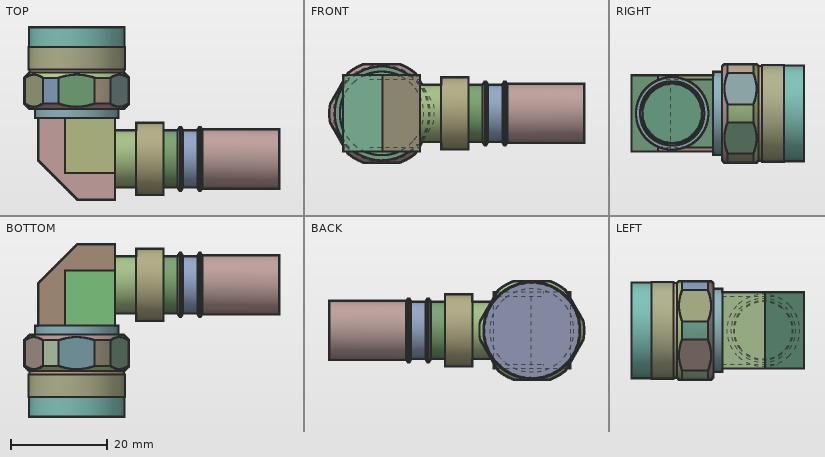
import cadquery as cq
import math


block_width = 16.05
block_length = 17.0
block_height = 15.95
block_bevel = 8.2
recess_x = -2.45
recess_y = -2.95
recess_depth = 0.9

flange_radius = 8.7
flange_end = 10.35

stem_radius = 6.0
collar_radius = 7.55
collar_start = 12.35
collar_end = 18.1
ridge_centers = (21.55, 25.65)
ridge_radius = 6.7
ridge_base_width = 1.05
ridge_crest_width = 0.2
tail_radius = 6.2
tail_end = 42.15

hex_flats = 20.55
hex_corner_radius = 10.95
hex_rear_chamfer = 1.15
hex_front_chamfer = 1.05
hex_front = 17.95
band_start = 18.65
band_end = 23.3
band_radius = 10.1
sleeve_radius = 10.0
neck_radius = hex_corner_radius - hex_front_chamfer
nut_end = 27.45


def cylinder_x(radius, start, end):
    """Cylinder on the X axis between two X positions."""
    return cq.Workplane("YZ", origin=(start, 0, 0)).circle(radius).extrude(end - start)


def cylinder_y(radius, start, end):
    """Cylinder on the Y axis between two Y positions."""
    return cq.Workplane("XZ", origin=(0, start, 0)).circle(radius).extrude(start - end)


def make_block():
    """Square elbow block with a bevelled outer corner and stepped inner corner faces."""
    block = cq.Workplane("XY").box(block_width, block_length, block_height)
    block = block.edges("|Z and <X and <Y").chamfer(block_bevel)
    recess_width = block_width / 2 - recess_x
    recess_length = block_length / 2 - recess_y
    recess = cq.Workplane("XY").box(recess_width, recess_length, recess_depth, centered=False)
    top_recess = recess.translate((recess_x, recess_y, block_height / 2 - recess_depth))
    bottom_recess = top_recess.mirror("XY")
    return block.cut(top_recess).cut(bottom_recess)


def make_ridge(center):
    """Tapered ring around the stem."""
    half_base = ridge_base_width / 2
    half_crest = ridge_crest_width / 2
    profile = [
        (center - half_base, 0),
        (center - half_base, stem_radius),
        (center - half_crest, ridge_radius),
        (center + half_crest, ridge_radius),
        (center + half_base, stem_radius),
        (center + half_base, 0),
    ]
    return cq.Workplane("XY").polyline(profile).close().revolve(360, (0, 0, 0), (1, 0, 0))


def make_elbow():
    """Block with its flange and its stem, as one body."""
    block_side = block_width / 2
    tail_start = ridge_centers[-1] + ridge_base_width / 2
    elbow = make_block()
    elbow = elbow.union(cylinder_y(flange_radius, block_length / 2, flange_end))
    elbow = elbow.union(cylinder_x(stem_radius, block_side, tail_end))
    elbow = elbow.union(cylinder_x(collar_radius, collar_start, collar_end))
    elbow = elbow.union(cylinder_x(tail_radius, tail_start, tail_end))
    for center in ridge_centers:
        elbow = elbow.union(make_ridge(center))
    return elbow


def make_nut():
    """Chamfered hexagon with a neck, a slightly raised band and a sleeve, seated on the flange."""
    hex_length = hex_front - flange_end
    hex_prism = (
        cq.Workplane("XZ", origin=(0, flange_end, 0))
        .polygon(6, hex_flats / math.cos(math.pi / 6))
        .extrude(-hex_length)
    )
    rounding = cylinder_y(hex_corner_radius, flange_end, hex_front)
    rounding = rounding.faces("<Y").chamfer(hex_rear_chamfer)
    rounding = rounding.faces(">Y").chamfer(hex_front_chamfer)
    nut = hex_prism.intersect(rounding)
    nut = nut.union(cylinder_y(neck_radius, hex_front, band_start))
    nut = nut.union(cylinder_y(band_radius, band_start, band_end))
    return nut.union(cylinder_y(sleeve_radius, band_end, nut_end))


elbow = make_elbow()
nut = make_nut()
result = cq.Compound.makeCompound([elbow.val(), nut.val()])